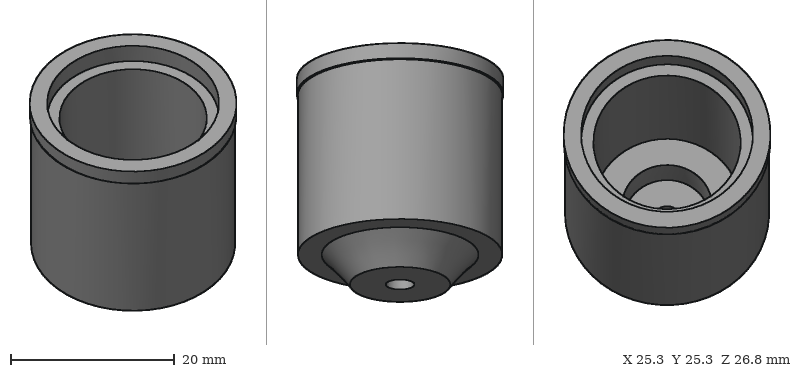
import cadquery as cq

height = 26.8
flange_radius = 25.3 / 2
flange_thickness = 1.98
flange_chamfer_height = 0.1

body_radius = 25.0 / 2
nose_height = 3.89
nose_top_radius = 9.6
nose_middle_radius = 7.7
nose_tip_radius = 6.15

seat_radius = 21.0 / 2
seat_depth = 2.5
bore_radius = 18.0 / 2
recess_top_radius = 5.5
recess_floor_radius = 5.25
hole_radius = 1.75

flange_bottom = height - flange_thickness
body_top = flange_bottom - flange_chamfer_height
seat_floor = height - seat_depth
bore_floor = 1.5 * nose_height
recess_floor = nose_height / 2


def turn(half_section):
    """Revolve a closed half section a full turn about Z."""
    return half_section.revolve(360, (0, 0, 0), (0, 1, 0))


def make_outer_body():
    """Solid body with a thin top flange and a concave tapering nose."""
    half_section = (
        cq.Workplane("XZ")
        .lineTo(nose_tip_radius, 0)
        .threePointArc((nose_middle_radius, nose_height / 2), (nose_top_radius, nose_height))
        .lineTo(body_radius, nose_height)
        .lineTo(body_radius, body_top)
        .lineTo(flange_radius, flange_bottom)
        .lineTo(flange_radius, height)
        .lineTo(0, height)
        .close()
    )
    return turn(half_section)


def make_stepped_bore():
    """Space removed inside: seat, main bore, tapered recess and through hole."""
    half_section = (
        cq.Workplane("XZ")
        .lineTo(hole_radius, 0)
        .lineTo(hole_radius, recess_floor)
        .lineTo(recess_floor_radius, recess_floor)
        .lineTo(recess_top_radius, bore_floor)
        .lineTo(bore_radius, bore_floor)
        .lineTo(bore_radius, seat_floor)
        .lineTo(seat_radius, seat_floor)
        .lineTo(seat_radius, height)
        .lineTo(0, height)
        .close()
    )
    return turn(half_section)


result = make_outer_body().cut(make_stepped_bore())